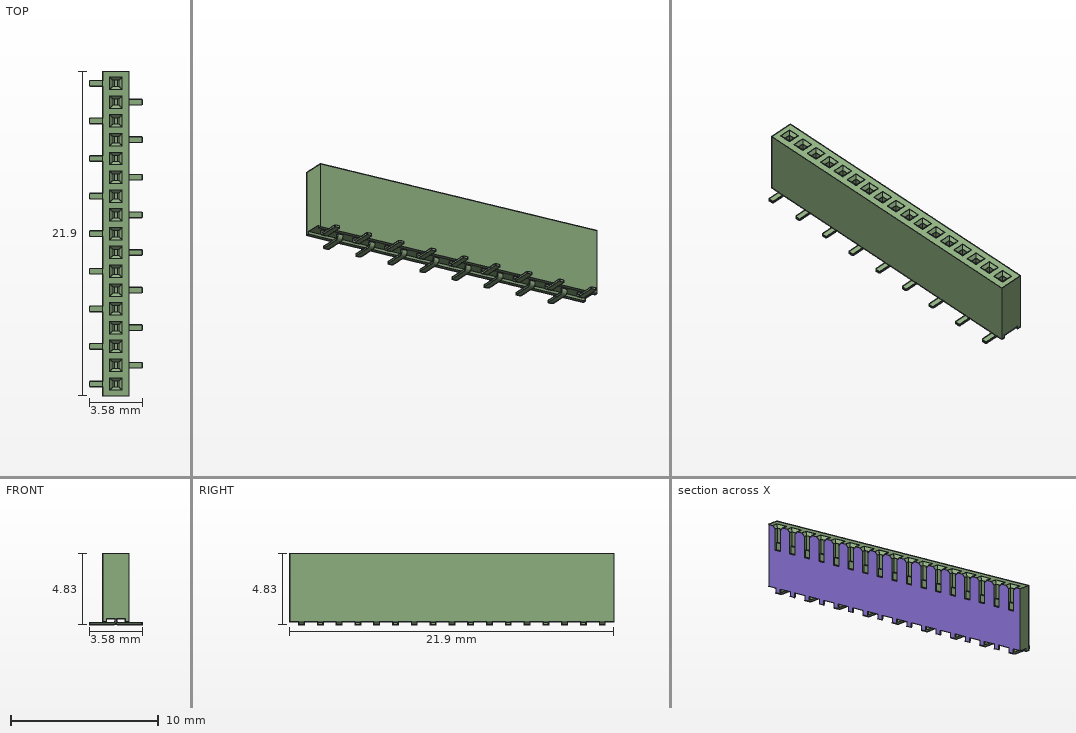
import cadquery as cq
import math

contact_count = 17
pitch = 1.27
end_margin = 0.81
housing_length = (contact_count - 1) * pitch + 2 * end_margin
housing_width = 1.8
overall_height = 4.83
housing_bottom = 0.2
housing_height = overall_height - housing_bottom

channel_width = 1.24
channel_depth = 0.2
channel_top = housing_bottom + channel_depth

socket_mouth = 0.84
socket_throat = 0.42
funnel_depth = (socket_mouth - socket_throat) / 2
shaft_depth = 1.0
slot_width = 0.2
slot_depth = 0.5

leg_span = 3.58
leg_thickness = 0.15
leg_width = 0.4
tip_chamfer = 0.05
bend_radius = 0.1
stem_embedding = 0.2


def make_housing():
    """Long block standing on two feet, with a channel between them."""
    block = cq.Workplane("XY").box(
        housing_width, housing_length, housing_height, centered=(True, True, False)
    )
    channel = cq.Workplane("XY").box(
        channel_width, housing_length, channel_depth, centered=(True, True, False)
    )
    return block.cut(channel).translate((0, 0, housing_bottom))


def make_socket():
    """Square funnel into a square shaft, with a narrow slot in the shaft floor."""
    funnel = (
        cq.Workplane("XY", origin=(0, 0, overall_height))
        .rect(socket_mouth, socket_mouth)
        .workplane(offset=-funnel_depth)
        .rect(socket_throat, socket_throat)
        .loft(ruled=True)
    )
    throat_plane = cq.Workplane("XY", origin=(0, 0, overall_height - funnel_depth))
    shaft = throat_plane.rect(socket_throat, socket_throat).extrude(-shaft_depth)
    slot = throat_plane.rect(slot_width, socket_throat).extrude(-shaft_depth - slot_depth)
    return funnel.union(shaft).union(slot)


def make_contact():
    """Strip with a stem on the housing centre plane, bent into a chamfered leg towards +X."""
    outer_radius = bend_radius + leg_thickness
    stem_inner = leg_thickness / 2
    stem_outer = -leg_thickness / 2
    stem_top = channel_top + stem_embedding
    leg_start = stem_inner + bend_radius
    tip = leg_span / 2

    def bend_midpoint(radius):
        reach = radius * math.sqrt(0.5)
        return (leg_start - reach, outer_radius - reach)

    return (
        cq.Workplane("XZ")
        .moveTo(stem_outer, stem_top)
        .lineTo(stem_outer, outer_radius)
        .threePointArc(bend_midpoint(outer_radius), (leg_start, 0))
        .lineTo(tip, 0)
        .lineTo(tip, leg_thickness)
        .lineTo(leg_start, leg_thickness)
        .threePointArc(bend_midpoint(bend_radius), (stem_inner, outer_radius))
        .lineTo(stem_inner, stem_top)
        .close()
        .extrude(leg_width / 2, both=True)
        .faces(">X")
        .edges("|Z")
        .chamfer(tip_chamfer)
    )


socket = make_socket()
right_contact = make_contact()
left_contact = right_contact.mirror("YZ")

result = make_housing()
first_y = -(contact_count - 1) * pitch / 2
for index in range(contact_count):
    position = (0, first_y + index * pitch, 0)
    contact = left_contact if index % 2 == 0 else right_contact
    result = result.cut(socket.translate(position))
    result = result.union(contact.translate(position))